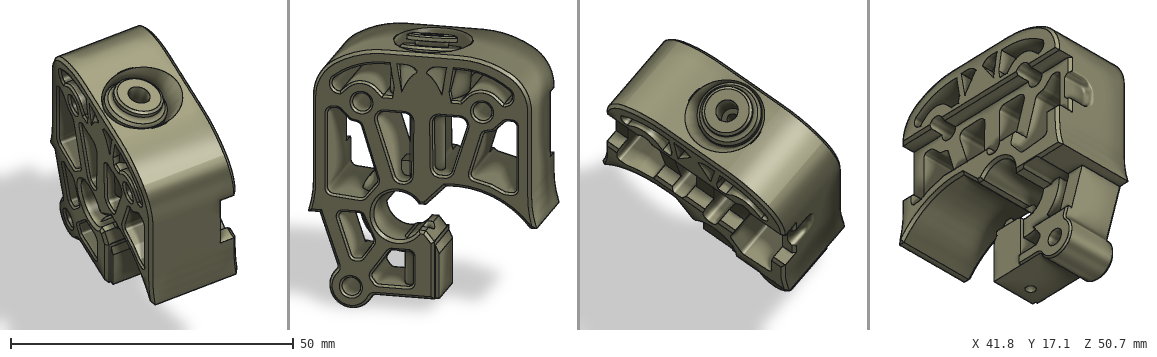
import cadquery as cq
import math

TOTAL_HEIGHT = 50.65
DEPTH = 17.05
ARM_DEPTH = 9.75
EAR_DEPTH = 10.95
EAR_ZONE_TOP = 9.45
OUTLINE_CHAMFER = 0.55
WINDOW_CHAMFER = 0.4
EAR_CHAMFER = 0.35
PICK_MARGIN = 0.05
CUT_MARGIN = 0.5

HALF_WIDTH = 19.95
TIP_HALF_WIDTH = 41.8 / 2
TIP_Z = 17.35
FLARE_Z = 23.3
FLARE_OUT = TIP_HALF_WIDTH - HALF_WIDTH
FLARE_RADIUS = (FLARE_OUT ** 2 + (FLARE_Z - TIP_Z) ** 2) / (2 * FLARE_OUT)
TOP_Z = 48.4
SHOULDER_Z = 39.0
CORNER_RADIUS = 8.0
CROWN_HALF_FLAT = 6.95
CORNER_X = HALF_WIDTH - CORNER_RADIUS
CROWN_REACH = CORNER_X - CROWN_HALF_FLAT
CORNER_DROP = TOP_Z - SHOULDER_Z
CROWN_RADIUS = (
    (CROWN_REACH ** 2 + CORNER_DROP ** 2 - CORNER_RADIUS ** 2) / (2 * (CORNER_DROP - CORNER_RADIUS))
)
CROWN_STRETCH = CROWN_RADIUS / (CROWN_RADIUS - CORNER_RADIUS)
CROWN_END = (
    CROWN_HALF_FLAT + CROWN_REACH * CROWN_STRETCH,
    TOP_Z - CROWN_RADIUS + (CROWN_RADIUS - CORNER_DROP) * CROWN_STRETCH,
)

BORE_CENTER = (-4.4, 17.8)
BORE_RADIUS = 4.5
HUB_RADIUS = 8.5
HUB_FRONT_RADIUS = 5.55
HUB_START_Y = 3.05
HUB_FULL_Y = 6.1
GAP_HALF_WIDTH = 0.6
LIP_OFFSET = 2.45
ARCH_START = (4.35, 24.0)
ARCH_MIDDLE = (12.65, 22.75)
ARCH_END = (19.75, TIP_Z)
ARM_TOP_X = -18.75
ARM_NECK = (-15.3, 7.25)

EAR_CENTER = (-12.95, 4.0)
EAR_RADIUS = 4.0
EAR_FILLET = 1.0
SCREW_CENTER = (11.05, 38.45)
SCREW_DIAMETER = 3.4
SCREW_BOSS_RADIUS = 3.95
CROWN_WINDOW_TOP = 45.9
CROWN_WINDOW_FLOOR = 40.05
BOSS_WINDOW_TOP = 46.2
RIB_SIDE_X = 5.55

FOOT_Z = 2.8
FOOT_X = 2.25
FOOT_TOP = 13.4
COLUMN_LEFT = -3.8
COLUMN_RIGHT = 2.95
COLUMN_TOP = 13.5
COLUMN_SHOULDER_Z = 11.15
COLUMN_CREST_Z = 12.65
COLUMN_DEPTH = 10.6
COLUMN_FRONT = 1.0
COLUMN_FILLET = 2.3

NOTCH_BOTTOM = 26.6
NOTCH_TOP = 38.65
NOTCH_Y = 13.9

GROOVE_BOTTOM_Z = 29.7
GROOVE_TOP_Z = 35.4
GROOVE_END_Y = 8.4
GROOVE_CORNER = 2.35
GROOVE_DEPTH = 1.5
GROOVE_FLOOR_FILLET = 1.25
GROOVE_RIM_FILLET = 0.55

TILT = 15.0
SIN_TILT = math.sin(math.radians(TILT))
COS_TILT = math.cos(math.radians(TILT))
AXIS_Y = 7.3
BOSS_AXIS_Y = 8.25
BOSS_RADIUS = 7.1
BOSS_BOTTOM_Z = 37.45

RING_RADIUS = 11.5 / 2
RING_TOP_RADIUS = 5.2
RING_TOP = -0.7
RING_BOTTOM = -5.05
DISH_RADIUS = 6.9
DISH_SLOPE = 0.48
DISH_RISE = 4.05

FLANGE_RADIUS = 4.5
FLANGE_TOP_RADIUS = 4.0
FLANGE_THICKNESS = 1.0
FLANGE_BEVEL = 0.3
FLANGE_TOP = (TOTAL_HEIGHT - TOP_Z - FLANGE_TOP_RADIUS * SIN_TILT) / COS_TILT
NECK_RADIUS = 3.0
TUBE_BORE = 4.0

PATH_Y = 4.35
PATH_DIAMETER = 2.0
PATH_MOUTH_DIAMETER = 3.4
PATH_MOUTH_DEPTH = 1.0
PATH_WALL_RADIUS = 3.15
PATH_BEND_Z = TOP_Z - (AXIS_Y - PATH_Y) * COS_TILT / SIN_TILT


def plane_xz(y=0.0):
    """Sketch plane facing -Y; a negative extrusion runs toward +Y."""
    return cq.Workplane("XZ", origin=(0, y, 0))


def prism(points, y_start, y_end):
    return plane_xz(y_start).polyline(points).close().extrude(y_start - y_end)


def block(x_min, x_max, y_min, y_max, z_min, z_max):
    size = (x_max - x_min, y_max - y_min, z_max - z_min)
    return cq.Workplane("XY").box(*size, centered=False).translate((x_min, y_min, z_min))


def disc(center, radius, y_start, y_end):
    return plane_xz(y_start).center(*center).circle(radius).extrude(y_start - y_end)


def mirrored(points):
    return [(-x, z) for x, z in points]


def tilted(body_of_revolution, axis_y=AXIS_Y):
    """Lean an upright body about X and move its origin to the top face."""
    return body_of_revolution.rotate((0, 0, 0), (1, 0, 0), -TILT).translate((0, axis_y, TOP_Z))


def revolved(section):
    return cq.Workplane("XZ").polyline(section).close().revolve(360, (0, 0, 0), (0, 1, 0))


def arc_middle(center, radius, start, end):
    """Point half way along the shorter arc from start to end."""
    mid_x = (start[0] + end[0]) / 2 - center[0]
    mid_z = (start[1] + end[1]) / 2 - center[1]
    stretch = radius / math.hypot(mid_x, mid_z)
    return (center[0] + mid_x * stretch, center[1] + mid_z * stretch)


def outline(depth):
    corner_center = (CORNER_X, SHOULDER_Z)
    crown_center = (CROWN_HALF_FLAT, TOP_Z - CROWN_RADIUS)
    corner_mid = arc_middle(corner_center, CORNER_RADIUS, (HALF_WIDTH, SHOULDER_Z), CROWN_END)
    crown_mid = arc_middle(crown_center, CROWN_RADIUS, CROWN_END, (CROWN_HALF_FLAT, TOP_Z))
    flare_center = (HALF_WIDTH + FLARE_RADIUS, FLARE_Z)
    flare_mid = arc_middle(flare_center, FLARE_RADIUS, (HALF_WIDTH, FLARE_Z), (TIP_HALF_WIDTH, TIP_Z))
    lip_top = BORE_CENTER[1] + LIP_OFFSET
    lip_bottom = BORE_CENTER[1] - LIP_OFFSET
    foot_start_x = EAR_CENTER[0] + math.sqrt(EAR_RADIUS ** 2 - (FOOT_Z - EAR_CENTER[1]) ** 2)
    frame = (
        plane_xz()
        .moveTo(-TIP_HALF_WIDTH, TIP_Z)
        .threePointArc((-flare_mid[0], flare_mid[1]), (-HALF_WIDTH, FLARE_Z))
        .lineTo(-HALF_WIDTH, SHOULDER_Z)
        .threePointArc((-corner_mid[0], corner_mid[1]), (-CROWN_END[0], CROWN_END[1]))
        .threePointArc((-crown_mid[0], crown_mid[1]), (-CROWN_HALF_FLAT, TOP_Z))
        .lineTo(CROWN_HALF_FLAT, TOP_Z)
        .threePointArc(crown_mid, CROWN_END)
        .threePointArc(corner_mid, (HALF_WIDTH, SHOULDER_Z))
        .lineTo(HALF_WIDTH, FLARE_Z)
        .threePointArc(flare_mid, (TIP_HALF_WIDTH, TIP_Z))
        .lineTo(*ARCH_END)
        .threePointArc(ARCH_MIDDLE, ARCH_START)
        .lineTo(GAP_HALF_WIDTH, lip_top)
        .lineTo(-GAP_HALF_WIDTH, lip_top)
        .threePointArc((BORE_CENTER[0] - BORE_RADIUS, BORE_CENTER[1]), (-GAP_HALF_WIDTH, lip_bottom))
        .lineTo(GAP_HALF_WIDTH, lip_bottom)
        .lineTo(FOOT_X, FOOT_TOP)
        .lineTo(FOOT_X, FOOT_Z)
        .lineTo(foot_start_x, FOOT_Z)
        .threePointArc((EAR_CENTER[0], EAR_CENTER[1] - EAR_RADIUS), ARM_NECK)
        .lineTo(ARM_TOP_X, TIP_Z)
        .close()
        .extrude(-depth)
    )
    neck_edges = cq.selectors.NearestToPointSelector((ARM_NECK[0], depth / 2, ARM_NECK[1]))
    foot_edges = cq.selectors.NearestToPointSelector((foot_start_x, depth / 2, FOOT_Z))
    return frame.edges(neck_edges).fillet(EAR_FILLET).edges(foot_edges).fillet(EAR_FILLET)


def cross_cut(points):
    """Cut along the whole width from an outline in Y and Z."""
    reach = TIP_HALF_WIDTH + CUT_MARGIN
    return cq.Workplane("YZ", origin=(-reach, 0, 0)).polyline(points).close().extrude(2 * reach)


def stepped_frame():
    """Outline with its back cut to the arm and ear depths and crossed by the notch."""
    chamfer_y = DEPTH - OUTLINE_CHAMFER
    notch = [
        (NOTCH_Y, NOTCH_BOTTOM),
        (chamfer_y, NOTCH_BOTTOM),
        (DEPTH, NOTCH_BOTTOM - OUTLINE_CHAMFER),
        (DEPTH, NOTCH_TOP + OUTLINE_CHAMFER),
        (chamfer_y, NOTCH_TOP),
        (NOTCH_Y, NOTCH_TOP),
    ]
    arm_step = [
        (EAR_DEPTH, -CUT_MARGIN),
        (EAR_DEPTH, EAR_ZONE_TOP - EAR_CHAMFER),
        (EAR_DEPTH - EAR_CHAMFER, EAR_ZONE_TOP),
        (ARM_DEPTH, EAR_ZONE_TOP),
        (ARM_DEPTH, TIP_Z),
        (chamfer_y, TIP_Z),
        (DEPTH, TIP_Z + OUTLINE_CHAMFER),
        (DEPTH, -CUT_MARGIN),
    ]
    frame = outline(DEPTH).faces("<Y or >Y").edges().chamfer(OUTLINE_CHAMFER)
    frame = frame.cut(cross_cut(notch)).cut(cross_cut(arm_step))
    frame = frame.cut(block(COLUMN_LEFT, FOOT_X, ARM_DEPTH, DEPTH, -CUT_MARGIN, TIP_Z))
    ear_back = (EAR_CENTER[0], EAR_DEPTH, 0)
    frame = frame.edges(cq.selectors.NearestToPointSelector(ear_back)).chamfer(EAR_CHAMFER)
    notch_edge = cq.selectors.BoxSelector(
        (-HALF_WIDTH - PICK_MARGIN, NOTCH_Y - PICK_MARGIN, NOTCH_BOTTOM),
        (-HALF_WIDTH + PICK_MARGIN, NOTCH_Y + PICK_MARGIN, NOTCH_TOP),
    )
    return frame.edges(notch_edge).chamfer(OUTLINE_CHAMFER)


SIDE_WINDOW_TOP = [(-17.3, 37.0), (-15.3, 37.0), (-13.15, 34.95), (-11.3, 34.6)]
WINDOWS = [
    (SIDE_WINDOW_TOP + [(-8.0, 23.95), (-10.8, 20.55), (-17.3, 21.1)], 1.15),
    (mirrored(SIDE_WINDOW_TOP) + [(8.7, 26.05), (12.65, 25.0), (15.2, 23.8), (17.3, 23.7)], 0.9),
    ([(-8.75, 37.0), (-1.8, 37.0), (-2.0, 24.25), (-4.65, 24.25)], 1.4),
    ([(8.75, 37.0), (1.8, 37.0), (2.0, 26.0), (5.2, 26.0)], 1.4),
    ([(-15.6, 17.8), (-11.05, 17.8), (-8.7, 12.75), (-11.15, 9.3), (-12.75, 9.3)], 0.9),
    ([(-8.25, 4.8), (-9.4, 6.4), (-5.8, 11.4), (-1.6, 11.4), (-1.6, 4.8)], 0.9),
]


def window_cut(points, corner_radius):
    return prism(points, 0, DEPTH).edges("|Y").fillet(corner_radius)


def crown_window():
    """Left window under the crown, dipping over the screw boss."""
    screw_x = -SCREW_CENTER[0]
    screw_z = SCREW_CENTER[1]
    reach = SCREW_BOSS_RADIUS / math.sqrt(2)
    return (
        plane_xz()
        .moveTo(-5.7, CROWN_WINDOW_TOP)
        .lineTo(-CROWN_HALF_FLAT, CROWN_WINDOW_TOP)
        .threePointArc((-11.75, 45.05), (-15.9, 42.8))
        .threePointArc((-16.4, 41.1), (-15.0, 40.15))
        .lineTo(screw_x - reach, screw_z + reach)
        .threePointArc((screw_x, screw_z + SCREW_BOSS_RADIUS), (screw_x + reach, screw_z + reach))
        .lineTo(-7.1, CROWN_WINDOW_FLOOR)
        .lineTo(-5.3, CROWN_WINDOW_FLOOR)
        .lineTo(-5.0, 41.7)
        .close()
        .extrude(-DEPTH)
    )


def boss_window():
    """Small left opening in front of the tilted boss."""
    return (
        plane_xz()
        .moveTo(-4.55, BOSS_WINDOW_TOP)
        .lineTo(-3.05, BOSS_WINDOW_TOP)
        .threePointArc((-1.8, 45.9), (-0.85, 44.95))
        .lineTo(-3.65, 40.9)
        .close()
        .extrude(-DEPTH)
    )


def screw_holes(frame):
    centers = [EAR_CENTER, SCREW_CENTER, (-SCREW_CENTER[0], SCREW_CENTER[1])]
    for center in centers:
        frame = frame.cut(disc(center, SCREW_DIAMETER / 2, 0, DEPTH))
    return frame


def chamfer_windows(frame):
    """Chamfer the front rims of the holes and windows, but not beside the crown ribs."""
    rim_edges = []
    for wire in frame.faces("<Y").val().innerWires():
        for edge in wire.Edges():
            middle = edge.Center()
            beside_rib = abs(middle.x) < RIB_SIDE_X and middle.z > SCREW_CENTER[1] + SCREW_DIAMETER / 2
            if not beside_rib:
                rim_edges.append(edge)
    return frame.newObject(rim_edges).chamfer(WINDOW_CHAMFER)


def hub():
    """Wall around the open bore that widens behind the front and then runs straight."""
    section = [
        (0, HUB_START_Y),
        (HUB_FRONT_RADIUS, HUB_START_Y),
        (HUB_RADIUS, HUB_FULL_Y),
        (HUB_RADIUS, ARM_DEPTH),
        (0, ARM_DEPTH),
    ]
    wall = cq.Workplane("XY").polyline(section).close().revolve(360, (0, 0, 0), (0, 1, 0))
    return wall.translate((BORE_CENTER[0], 0, BORE_CENTER[1])).intersect(outline(DEPTH))


def foot_column():
    """Column below the bore that carries the lower filament path."""
    points = [
        (COLUMN_LEFT, FOOT_Z),
        (COLUMN_RIGHT, FOOT_Z),
        (COLUMN_RIGHT, COLUMN_SHOULDER_Z),
        (FOOT_X, COLUMN_CREST_Z),
        (FOOT_X, COLUMN_TOP),
        (COLUMN_LEFT, COLUMN_TOP),
    ]
    column = prism(points, COLUMN_FRONT, COLUMN_DEPTH)
    column = column.edges("<X and <Y").fillet(COLUMN_FILLET)
    return column.cut(disc(BORE_CENTER, BORE_RADIUS, 0, DEPTH))


def path_wall():
    """Round wall around the upper filament path, between the two middle slots."""
    bottom = BORE_CENTER[1] + LIP_OFFSET
    wall = cq.Workplane("XY", origin=(0, PATH_Y, bottom)).circle(PATH_WALL_RADIUS)
    return wall.extrude(BOSS_BOTTOM_Z - bottom).intersect(outline(DEPTH))


def tilted_boss():
    boss = tilted(cq.Workplane("XY").circle(BOSS_RADIUS).extrude(DEPTH, both=True), BOSS_AXIS_Y)
    return boss.intersect(block(-HALF_WIDTH, HALF_WIDTH, 0, DEPTH, BOSS_BOTTOM_Z, TOP_Z))


def side_groove():
    """Rounded groove in the left wall, open to the back notch."""
    groove = block(
        -TIP_HALF_WIDTH, -HALF_WIDTH + GROOVE_DEPTH, GROOVE_END_Y, 2 * DEPTH, GROOVE_BOTTOM_Z, GROOVE_TOP_Z
    )
    groove = groove.edges("|X and <Y").fillet(GROOVE_CORNER)
    return groove.faces(">X").edges().fillet(GROOVE_FLOOR_FILLET)


def collet_seat():
    """Flared dish with a straight seat for the ring below it."""
    dish_top = DISH_RADIUS + DISH_SLOPE * DISH_RISE
    dish_foot = (RING_RADIUS - DISH_RADIUS) / DISH_SLOPE
    section = [
        (0, RING_BOTTOM),
        (RING_RADIUS, RING_BOTTOM),
        (RING_RADIUS, dish_foot),
        (dish_top, DISH_RISE),
        (0, DISH_RISE),
    ]
    return tilted(revolved(section))


def filament_path():
    """Tilted bore from the seat that bends into a vertical bore through the foot."""
    radius = PATH_DIAMETER / 2
    length = (TOP_Z - PATH_BEND_Z) / COS_TILT
    slanted = tilted(cq.Workplane("XY").circle(radius).extrude(-length))
    upright = cq.Workplane("XY", origin=(0, PATH_Y, 0)).circle(radius).extrude(PATH_BEND_Z)
    bend = cq.Workplane("XY").sphere(radius).translate((0, PATH_Y, PATH_BEND_Z))
    lip_z = BORE_CENTER[1] - LIP_OFFSET
    funnel = (
        cq.Workplane("XY", origin=(0, PATH_Y, lip_z - PATH_MOUTH_DEPTH))
        .circle(radius)
        .workplane(offset=PATH_MOUTH_DEPTH)
        .circle(PATH_MOUTH_DIAMETER / 2)
        .loft()
    )
    return slanted.union(upright).union(bend).union(funnel)


def make_housing():
    frame = stepped_frame()
    for points, corner_radius in WINDOWS:
        frame = frame.cut(window_cut(points, corner_radius))
    frame = frame.cut(crown_window()).cut(crown_window().mirror("YZ"))
    frame = screw_holes(frame)
    frame = chamfer_windows(frame)
    frame = frame.cut(boss_window()).cut(boss_window().mirror("YZ"))
    for part in (hub(), foot_column(), path_wall(), tilted_boss()):
        frame = frame.union(part)
    frame = frame.cut(side_groove())
    rim = cq.selectors.BoxSelector(
        (-HALF_WIDTH - PICK_MARGIN, GROOVE_END_Y - CUT_MARGIN, GROOVE_BOTTOM_Z - CUT_MARGIN),
        (-HALF_WIDTH + PICK_MARGIN, NOTCH_Y - OUTLINE_CHAMFER - PICK_MARGIN, GROOVE_TOP_Z + CUT_MARGIN),
    )
    frame = frame.edges(rim).fillet(GROOVE_RIM_FILLET)
    return frame.cut(collet_seat()).cut(filament_path())


def make_ring():
    bevel = RING_RADIUS - RING_TOP_RADIUS
    section = [
        (NECK_RADIUS, RING_BOTTOM),
        (RING_RADIUS, RING_BOTTOM),
        (RING_RADIUS, RING_TOP - bevel),
        (RING_TOP_RADIUS, RING_TOP),
        (NECK_RADIUS, RING_TOP),
    ]
    return tilted(revolved(section))


def make_collet():
    bore_radius = TUBE_BORE / 2
    flange_bottom = FLANGE_TOP - FLANGE_THICKNESS
    section = [
        (bore_radius, RING_BOTTOM),
        (NECK_RADIUS, RING_BOTTOM),
        (NECK_RADIUS, flange_bottom),
        (FLANGE_RADIUS, flange_bottom),
        (FLANGE_RADIUS, FLANGE_TOP - FLANGE_BEVEL),
        (FLANGE_TOP_RADIUS, FLANGE_TOP),
        (bore_radius, FLANGE_TOP),
    ]
    return tilted(revolved(section))


housing = make_housing()
ring = make_ring()
collet = make_collet()
result = cq.Compound.makeCompound([housing.solids().val(), ring.val(), collet.val()])